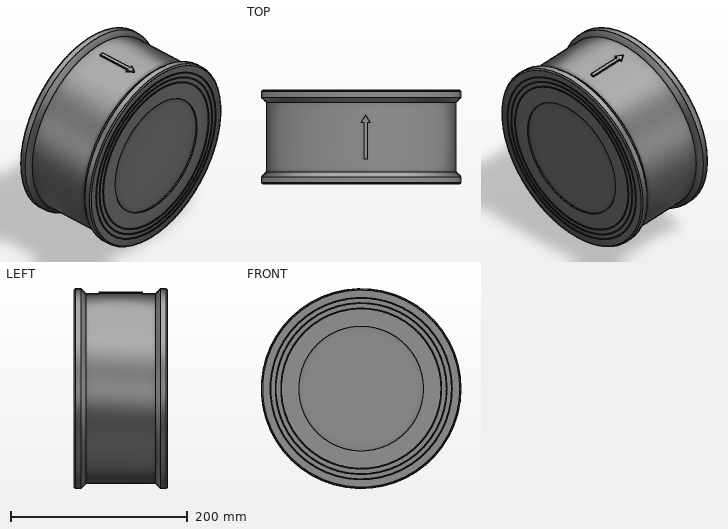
import cadquery as cq

flange_radius = 113.0
body_radius = 107.4
length = 106.0
flange_chamfer = 1.5
flange_land_end = 8.1
slope_run = flange_radius - body_radius

groove_inner_radii = (90.2, 96.3, 102.2)
groove_width = 1.0
groove_depth = 0.7

recess_radius = 70.5
recess_depth = 1.8

arrow_center_x = 5.0
arrow_tail_y = -24.9
arrow_neck_y = 16.7
arrow_tip_y = 24.9
arrow_shaft_width = 4.0
arrow_head_width = 10.0
arrow_height = 1.8

half_length = length / 2
end_faces = (-1, 1)


def make_drum():
    """Revolve the half section of the drum and its flanges about Y."""
    land_y = half_length - flange_land_end
    slope_end_y = land_y - slope_run
    chamfer_y = half_length - flange_chamfer
    chamfer_radius = flange_radius - flange_chamfer
    upper_outline = [
        (body_radius, slope_end_y),
        (flange_radius, land_y),
        (flange_radius, chamfer_y),
        (chamfer_radius, half_length),
        (0, half_length),
    ]
    lower_outline = [(radius, -y) for radius, y in reversed(upper_outline)]
    section = cq.Workplane("XY").polyline(lower_outline + upper_outline).close()
    return section.revolve(360, (0, 0, 0), (0, 1, 0))


def ring_cutter(side, inner_radius, outer_radius, depth):
    """Ring reaching the given depth into one end face; inner radius 0 makes a disc."""
    face = cq.Workplane("XZ", origin=(0, side * half_length, 0)).circle(outer_radius)
    if inner_radius > 0:
        face = face.circle(inner_radius)
    return face.extrude(side * depth)


def make_arrow():
    """Flow arrow, its top following the drum's curve."""
    half_shaft = arrow_shaft_width / 2
    half_head = arrow_head_width / 2
    right_side = [
        (half_shaft, arrow_tail_y),
        (half_shaft, arrow_neck_y),
        (half_head, arrow_neck_y),
    ]
    left_side = [(-x, y) for x, y in reversed(right_side)]
    outline = right_side + [(0, arrow_tip_y)] + left_side
    prism = (
        cq.Workplane("XY")
        .center(arrow_center_x, 0)
        .polyline(outline)
        .close()
        .extrude(flange_radius)
    )
    raised_drum = cq.Workplane("XZ").circle(body_radius + arrow_height).extrude(half_length, both=True)
    return prism.intersect(raised_drum)


result = make_drum().union(make_arrow())
for side in end_faces:
    result = result.cut(ring_cutter(side, 0, recess_radius, recess_depth))
    for inner_radius in groove_inner_radii:
        result = result.cut(ring_cutter(side, inner_radius, inner_radius + groove_width, groove_depth))